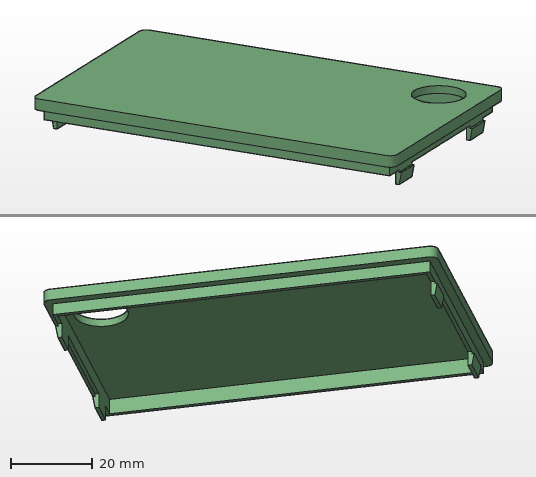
import cadquery as cq

plate_length = 100.0
plate_width = 60.0
plate_thickness = 3.0
corner_radius = 2.0

rim_inset = 2.2
rim_height = 3.0
rim_wall = 1.0
cover_thickness = 2.0
rim_length = plate_length - 2 * rim_inset
rim_width = plate_width - 2 * rim_inset
inner_length = rim_length - 2 * rim_wall
inner_width = rim_width - 2 * rim_wall

opening_diameter = 13.5
opening_x = 38.0
opening_y = 18.0

total_height = 9.8
clip_width = 7.0
clip_spacing = 38.4
barb_reach = 0.6
barb_drop = 0.6

rim_bottom = -(plate_thickness + rim_height)


def make_plate():
    """Flat cover with rounded vertical corners, a recessed underside and a round opening."""
    recess = (
        cq.Workplane("XY")
        .workplane(offset=-plate_thickness)
        .rect(inner_length, inner_width)
        .extrude(plate_thickness - cover_thickness)
    )
    return (
        cq.Workplane("XY")
        .box(plate_length, plate_width, plate_thickness, centered=(True, True, False))
        .translate((0, 0, -plate_thickness))
        .edges("|Z")
        .fillet(corner_radius)
        .cut(recess)
        .faces(">Z")
        .workplane(origin=(0, 0, 0))
        .center(opening_x, opening_y)
        .hole(opening_diameter)
    )


def make_rim():
    """Thin sharp-cornered wall around the underside."""
    return (
        cq.Workplane("XY")
        .workplane(offset=rim_bottom)
        .rect(rim_length, rim_width)
        .rect(inner_length, inner_width)
        .extrude(rim_height)
    )


def make_clip(y_center):
    """Clip on the +X side: a tongue as thick as the rim wall with a tapered outer barb."""
    outer_x = rim_length / 2
    inner_x = outer_x - rim_wall
    barb_top = rim_bottom - barb_drop
    profile = [
        (inner_x, -plate_thickness),
        (outer_x, -plate_thickness),
        (outer_x, barb_top),
        (outer_x + barb_reach, barb_top),
        (outer_x, -total_height),
        (inner_x, -total_height),
    ]
    return (
        cq.Workplane("XZ", origin=(0, y_center, 0))
        .polyline(profile)
        .close()
        .extrude(clip_width / 2, both=True)
    )


result = make_plate().union(make_rim())
for y_center in (-clip_spacing / 2, clip_spacing / 2):
    clip = make_clip(y_center)
    result = result.union(clip).union(clip.mirror("YZ"))